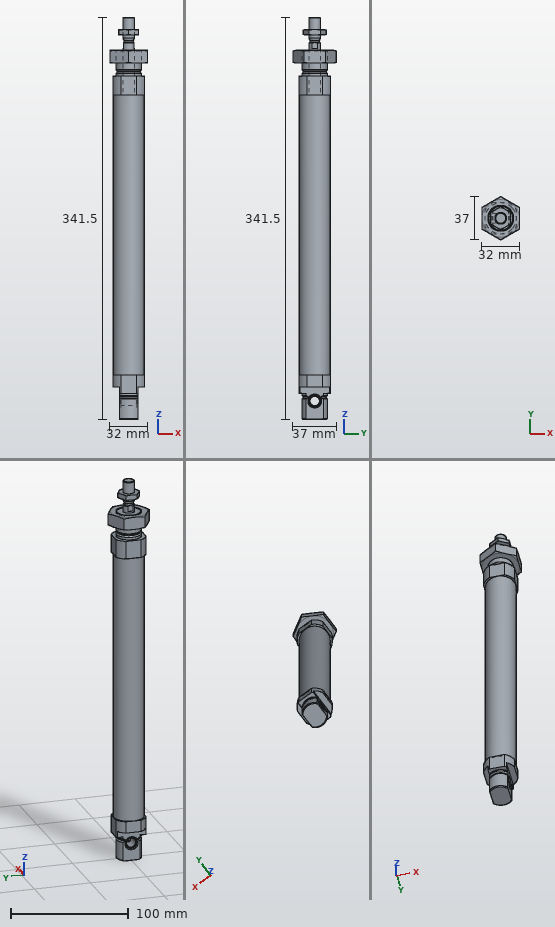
import cadquery as cq
import math

total_length = 341.5

rod_dia = 10.0
rod_tip_chamfer = 0.7
rod_thread_length = 17.5
rod_undercut_dia = 8.4
rod_runout_length = 2.2
rod_shoulder_drop = 22.0
wrench_flat_width = 9.0
wrench_flat_length = 4.5

rod_nut_across_flats = 17.0
rod_nut_thickness = 4.5
rod_nut_drop = 10.5

mount_nut_across_flats = 32.0
mount_nut_thickness = 11.0
hex_sides = 6
nut_chamfer_angle = 15.0

neck_dia = 22.0
neck_length = 22.0
neck_end_dia = 20.38
neck_drop = 28.0
undercut_dia = 19.7
undercut_floor = 1.0
front_undercut_offset = 3.8

tube_dia = 26.5
cap_across_flats = 27.0
cap_corner_dia = 30.0
front_cap_length = 16.0
rear_cap_length = 15.5
rear_cap_top = 37.5

tongue_thickness = 16.0
tongue_shoulder = 27.3
rear_undercut_offset = 3.3
pin_hole_dia = 8.0
pin_hole_height = 15.5
pin_counterbore_dia = 10.0
pin_counterbore_depth = 1.5
pin_counterbore_chamfer = 0.9

neck_chamfer = (neck_dia - neck_end_dia) / 2
neck_top = total_length - neck_drop
front_cap_top = neck_top - neck_length
front_cap_bottom = front_cap_top - front_cap_length
rear_cap_bottom = rear_cap_top - rear_cap_length
rod_nut_bottom = total_length - rod_nut_drop - rod_nut_thickness
mount_nut_bottom = neck_top - mount_nut_thickness
rod_bottom = front_cap_bottom
rod_thread_end = total_length - rod_thread_length
rod_shoulder = total_length - rod_shoulder_drop


def cylinder(diameter, bottom, top):
    return cq.Workplane("XY").workplane(offset=bottom).circle(diameter / 2).extrude(top - bottom)


def cap(bottom, length):
    """Square block whose corners are rounded by a concentric cylinder."""
    square = cq.Workplane("XY").workplane(offset=bottom).rect(cap_across_flats, cap_across_flats)
    block = square.extrude(length)
    return block.intersect(cylinder(cap_corner_dia, bottom, bottom + length))


def undercut(outer_dia, core_dia, top, bottom, upper_wall, lower_wall):
    """Ring to cut away: a flat-bottomed groove whose conical walls have the given heights."""
    outer_radius = outer_dia / 2
    core_radius = core_dia / 2
    return (
        cq.Workplane("XZ")
        .moveTo(outer_radius, top)
        .lineTo(core_radius, top - upper_wall)
        .lineTo(core_radius, bottom + lower_wall)
        .lineTo(outer_radius, bottom)
        .close()
        .revolve(360, (0, 0, 0), (0, 1, 0))
    )


def neck_undercut(middle):
    """Undercut of the mounting thread, with 45 degree walls."""
    wall = (neck_dia - undercut_dia) / 2
    half_mouth = undercut_floor / 2 + wall
    return undercut(neck_dia, undercut_dia, middle + half_mouth, middle - half_mouth, wall, wall)


def side_cutters(gap, size, bottom, height):
    """Pair of blocks that leave a slab of the given thickness between them along X."""
    block = cq.Workplane("XY").workplane(offset=bottom).rect(size, size).extrude(height)
    reach = (gap + size) / 2
    return [block.translate((side * reach, 0, 0)) for side in (-1, 1)]


def hex_nut(across_flats, bore_dia, bottom, thickness):
    """Hexagon nut with corners on the Y axis and both faces chamfered to a circle."""
    half_corner_angle = math.pi / hex_sides
    corner_dia = across_flats / math.cos(half_corner_angle)
    chamfer_width = (corner_dia - across_flats) / 2
    chamfer_height = chamfer_width * math.tan(math.radians(nut_chamfer_angle))
    hexagon = (
        cq.Workplane("XY")
        .workplane(offset=bottom)
        .transformed(rotate=(0, 0, 90))
        .polygon(hex_sides, corner_dia)
        .circle(bore_dia / 2)
        .extrude(thickness)
    )
    envelope = cylinder(corner_dia, bottom, bottom + thickness)
    envelope = envelope.faces("<Z or >Z").edges().chamfer(chamfer_height, chamfer_width)
    return hexagon.intersect(envelope)


def pin_hole():
    """Cutter along X: through hole with a chamfered counterbore on each tongue face."""
    face = tongue_thickness / 2
    hole_radius = pin_hole_dia / 2
    bore_radius = pin_counterbore_dia / 2
    bore_floor = face - pin_counterbore_depth
    chamfer_start = face - pin_counterbore_chamfer
    half_profile = (
        cq.Workplane("XZ")
        .polyline(
            [
                (0, 0),
                (0, hole_radius),
                (bore_floor, hole_radius),
                (bore_floor, bore_radius),
                (chamfer_start, bore_radius),
                (face, bore_radius + pin_counterbore_chamfer),
                (face, 0),
            ]
        )
        .close()
    )
    half_cutter = half_profile.revolve(360, (0, 0, 0), (1, 0, 0))
    cutter = half_cutter.union(half_cutter.mirror("YZ"))
    return cutter.translate((0, 0, pin_hole_height))


def make_rod():
    rod = cylinder(rod_dia, rod_bottom, total_length).faces(">Z").edges().chamfer(rod_tip_chamfer)

    shoulder_wall = (rod_dia - rod_undercut_dia) / 2
    rod = rod.cut(
        undercut(rod_dia, rod_undercut_dia, rod_thread_end, rod_shoulder, rod_runout_length, shoulder_wall)
    )

    flat_bottom = rod_shoulder - wrench_flat_length
    flat_height = wrench_flat_length + shoulder_wall
    for cutter in side_cutters(wrench_flat_width, rod_dia, flat_bottom, flat_height):
        rod = rod.cut(cutter)
    return rod


def front_end():
    """Front cap with the threaded neck that carries the mounting nut."""
    neck = cylinder(neck_dia, front_cap_top, neck_top).faces(">Z").edges().chamfer(neck_chamfer)
    neck = neck.cut(neck_undercut(front_cap_top + front_undercut_offset))
    return cap(front_cap_bottom, front_cap_length).union(neck)


def rear_end():
    """Rear cap with its round stub, both milled flat on two sides to form the clevis tongue."""
    stub = cylinder(neck_dia, 0, rear_cap_bottom).faces("<Z").edges().chamfer(neck_chamfer)
    stub = stub.cut(neck_undercut(rear_cap_bottom - rear_undercut_offset))
    end = cap(rear_cap_bottom, rear_cap_length).union(stub)
    for cutter in side_cutters(tongue_thickness, cap_corner_dia, 0, tongue_shoulder):
        end = end.cut(cutter)
    return end.cut(pin_hole())


def make_housing():
    tube = cylinder(tube_dia, rear_cap_top, front_cap_bottom)
    body = tube.union(front_end()).union(rear_end())
    return body.cut(cylinder(rod_dia, rod_bottom, neck_top))


housing = make_housing()
rod = make_rod()
rod_nut = hex_nut(rod_nut_across_flats, rod_dia, rod_nut_bottom, rod_nut_thickness)
mount_nut = hex_nut(mount_nut_across_flats, neck_dia, mount_nut_bottom, mount_nut_thickness)

result = cq.Compound.makeCompound([housing.val(), rod.val(), rod_nut.val(), mount_nut.val()])